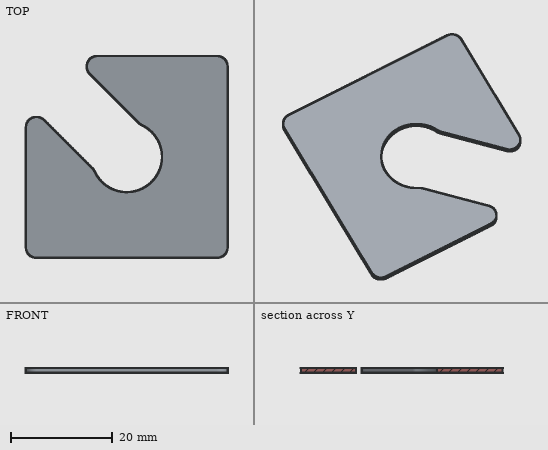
import cadquery as cq

side = 40.0
thickness = 1.0
hole_radius = 6.95
slot_width = 12.8
slot_angle = -45.0
corner_radius = 2.1
neck_radius = 2.0

plate = cq.Workplane("XY").box(side, side, thickness)

hole = cq.Workplane("XY").circle(hole_radius).extrude(thickness, both=True)
slot = (
    cq.Workplane("XY")
    .box(side, slot_width, 2 * thickness)
    .translate((-side / 2, 0, 0))
    .rotate((0, 0, 0), (0, 0, 1), slot_angle)
)
plate = plate.cut(hole).cut(slot)

neck_box = cq.selectors.BoxSelector(
    (-slot_width, -slot_width, -thickness), (slot_width, slot_width, thickness)
)
plate = plate.edges("|Z").edges(neck_box).fillet(neck_radius)

outer_corners = "(|Z and (>X or <X)) or (|Z and (>Y or <Y))"
result = plate.edges(outer_corners).fillet(corner_radius)